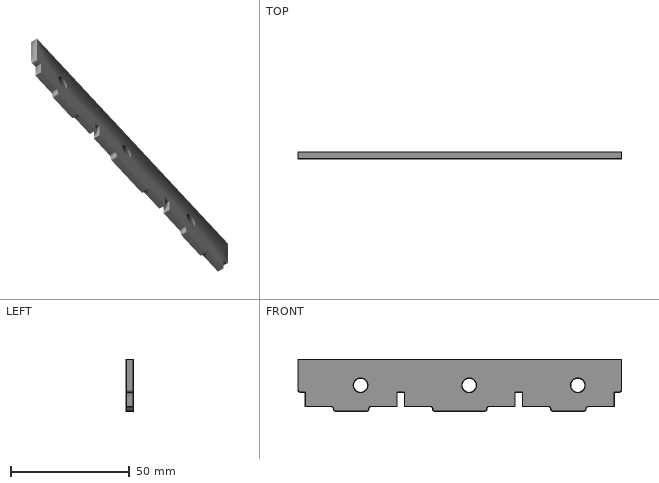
import cadquery as cq

length = 137.0
thickness = 3.0
height = 22.0

shelf_z = 2.0
notch_top_z = 8.0

notch_width = 3.0
inner_slot_start = 42.0

outer_foot_start = 15.0
outer_foot_width = 15.0
middle_foot_width = 23.0

corner_radius = 1.0

hole_diameter = 6.0
hole_count = 3
hole_pitch = 46.0
first_hole_x = 26.5
hole_z = height / 2


def block(x_start, width, z_bottom, z_top):
    """Full-thickness block spanning the given X and Z ranges."""
    return (
        cq.Workplane("XY")
        .box(width, thickness, z_top - z_bottom, centered=False)
        .translate((x_start, 0, z_bottom))
    )


def foot(x_start, width):
    """Foot whose sides flare into the shelf and round into the bottom face."""
    r = corner_radius
    x_end = x_start + width
    return (
        cq.Workplane("XZ")
        .moveTo(x_start - r, shelf_z)
        .radiusArc((x_start, shelf_z - r), r)
        .radiusArc((x_start + r, 0), -r)
        .lineTo(x_end - r, 0)
        .radiusArc((x_end, r), -r)
        .radiusArc((x_end + r, shelf_z), r)
        .close()
        .extrude(-thickness)
    )


def make_plate():
    """Plate above the shelf with end notches and inner slots."""
    upper = block(0, length, notch_top_z, height)
    upper = upper.edges("|Y and <Z").fillet(corner_radius)
    end_tab_width = inner_slot_start - notch_width
    middle_start = inner_slot_start + notch_width
    tabs = [
        (notch_width, end_tab_width),
        (middle_start, length - 2 * middle_start),
        (length - inner_slot_start, end_tab_width),
    ]
    for x_start, width in tabs:
        upper = upper.union(block(x_start, width, shelf_z, notch_top_z))
    return upper


def add_feet(plate):
    feet = [
        (outer_foot_start, outer_foot_width),
        ((length - middle_foot_width) / 2, middle_foot_width),
        (length - outer_foot_start - outer_foot_width, outer_foot_width),
    ]
    for x_start, width in feet:
        plate = plate.union(foot(x_start, width))
    return plate


def cut_holes(plate):
    centers = [(first_hole_x + i * hole_pitch, hole_z) for i in range(hole_count)]
    holes = (
        cq.Workplane("XZ")
        .pushPoints(centers)
        .circle(hole_diameter / 2)
        .extrude(-thickness)
    )
    return plate.cut(holes)


result = cut_holes(add_feet(make_plate()))